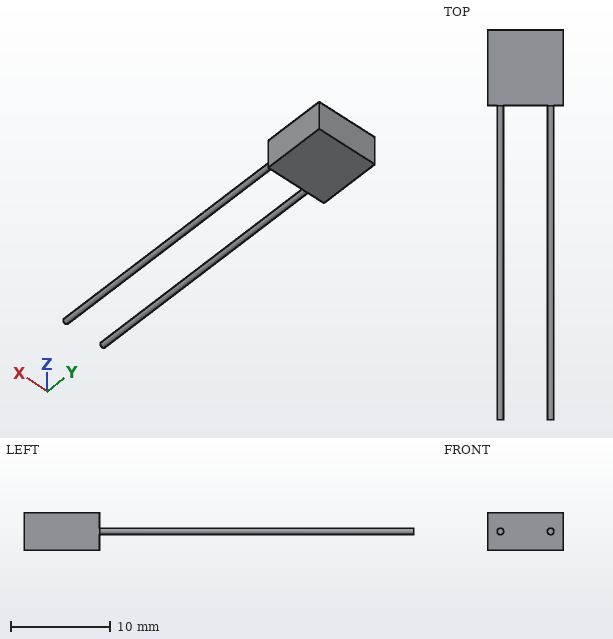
import cadquery as cq

total_length = 39.37
housing_width = 7.65
housing_length = 7.65
housing_height = 3.8

lead_diameter = 0.65
lead_spacing = 5.08
lead_length = total_length - housing_length


def make_housing():
    """Plain rectangular block whose front face, at Y = 0, carries the leads."""
    return cq.Workplane("XY").box(
        housing_width, housing_length, housing_height, centered=(True, False, True)
    )


def make_lead(x_position):
    """Straight wire that butts against the front face and runs toward -Y."""
    return cq.Workplane("XZ").center(x_position, 0).circle(lead_diameter / 2).extrude(lead_length)


housing = make_housing()
leads = [make_lead(side * lead_spacing / 2) for side in (-1, 1)]

result = cq.Compound.makeCompound([housing.val(), *[lead.val() for lead in leads]])